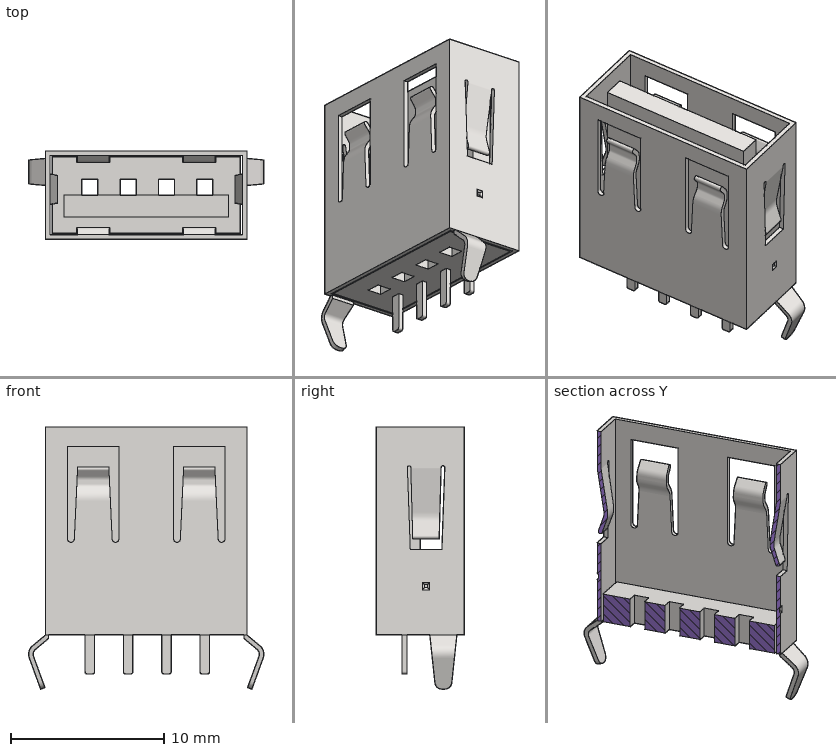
import cadquery as cq
import math

SHELL_X = 13.13
SHELL_Y = 5.76
SHELL_Z = 13.56
SHEET = 0.3
INNER_X = SHELL_X - 2 * SHEET
INNER_Y = SHELL_Y - 2 * SHEET

WIDE_SPRING_X = 3.45
WIDE_WINDOW_TOP = 12.3
WIDE_WINDOW_HALF = 1.68
WIDE_SLOT_RADIUS = 0.22
WIDE_ROOT_Z = 6.26
WIDE_ROOT_HALF = WIDE_WINDOW_HALF - 2 * WIDE_SLOT_RADIUS
WIDE_TIP_HALF = 1.01
WIDE_TAPER_END_Z = 11.12
WIDE_BEND_Z = 8.74
WIDE_IN_ANGLE = 35
WIDE_OUT_ANGLE = 38
WIDE_MOVES = [
    ("straight", WIDE_BEND_Z - WIDE_ROOT_Z),
    ("bend", -WIDE_IN_ANGLE, 0.85),
    ("straight", 0.38),
    ("bend", WIDE_IN_ANGLE, 0.48),
    ("straight", 0.25),
    ("bend", WIDE_OUT_ANGLE, 0.53),
    ("straight", 0.51),
]

SIDE_SPRING_Y = 0.38
SIDE_SLOT_RADIUS = 0.111
SIDE_ROOT_Z = 10.91
SIDE_WINDOW_BOTTOM = 5.57
SIDE_WINDOW_ROOT_HALF = 1.21
SIDE_WINDOW_END_HALF = 1.03
SIDE_ROOT_HALF = SIDE_WINDOW_ROOT_HALF - 2 * SIDE_SLOT_RADIUS
SIDE_TIP_HALF = 0.85
SIDE_TAPER_END_Z = 5.92
SIDE_IN_ANGLE = 9
SIDE_OUT_ANGLE = 19
SIDE_MOVES = [
    ("straight", 0.03),
    ("bend", SIDE_IN_ANGLE, 0.17),
    ("straight", 2.89),
    ("bend", -SIDE_IN_ANGLE, 1.37),
    ("straight", 0.07),
    ("bend", -SIDE_OUT_ANGLE, 0.95),
    ("straight", 1.06),
]

DIMPLE_SIDE = 0.48
DIMPLE_Z = 3.18
DIMPLE_FLOOR = 0.19
DIMPLE_DEPTH = 0.09

LEG_SPREAD = 15.34
LEG_Y = 1.5
LEG_BOTTOM = -3.54
LEG_ROOT_HALF = 0.89
LEG_TIP_HALF = 0.51
LEG_TIP_FILLET = 0.48
LEG_BEND_RADIUS = 0.72
LEG_OUT_ANGLE = 40
LEG_IN_ANGLE = 20
LEG_ROOT_X = 0.2

BASE_X = 12.26
BASE_Y = 5.0
BASE_Z = 2.0
TONGUE_X = 10.72
TONGUE_Y = 1.44
TONGUE_BACK = 0.0
TONGUE_TOP = 13.53
PIN_COUNT = 4
PIN_PITCH = 2.5
PIN_ROW_X = 0.07
PIN_X = 0.63
PIN_Y = 0.35
PIN_CENTER_Y = -1.03
PIN_LENGTH = 2.55
PIN_FILLET = 0.15
BASE_HOLE = 1.03


def direction(angle):
    """Unit vector at an angle in degrees, in the plane of a profile."""
    return cq.Vector(math.cos(math.radians(angle)), math.sin(math.radians(angle)))


def bent_strip(plane, start, heading, moves, half_width, round_end=False):
    """Sheet strip following a mid-line of straights and bends, extruded both ways from the plane.

    Positive bends turn left. Radii and lengths are those of the mid-line.
    """
    half = SHEET / 2
    position = cq.Vector(*start)
    left = [(None, position + direction(heading + 90) * half)]
    right = [(None, position - direction(heading + 90) * half)]
    for kind, amount, *radius in moves:
        if kind == "straight":
            position = position + direction(heading) * amount
            left.append((None, position + direction(heading + 90) * half))
            right.append((None, position - direction(heading + 90) * half))
            continue
        turn = math.copysign(1, amount)
        center = position + direction(heading + 90) * (turn * radius[0])
        spoke_middle = direction(heading + amount / 2 - 90) * turn
        spoke_end = direction(heading + amount - 90) * turn
        for side, reach in ((left, radius[0] - turn * half), (right, radius[0] + turn * half)):
            side.append((center + spoke_middle * reach, center + spoke_end * reach))
        heading += amount
        position = center + spoke_end * radius[0]

    outline = cq.Workplane(plane).moveTo(*left[0][1].toTuple()[:2])
    for middle, end in left[1:]:
        outline = draw_to(outline, middle, end)
    end_middle = position + direction(heading) * half if round_end else None
    outline = draw_to(outline, end_middle, right[-1][1])
    for (middle, _), (_, end) in zip(right[:0:-1], right[-2::-1]):
        outline = draw_to(outline, middle, end)
    return outline.close().extrude(half_width, both=True)


def draw_to(outline, middle, end):
    """Add a line, or an arc through the middle point, to the outline."""
    if middle is None:
        return outline.lineTo(end.x, end.y)
    return outline.threePointArc((middle.x, middle.y), (end.x, end.y))


def tapered_prism(plane, center, root, end, root_half, end_half, depth):
    """Trapezoid prism that is symmetric about a vertical line and extruded both ways."""
    return (
        cq.Workplane(plane)
        .moveTo(center - root_half, root)
        .lineTo(center + root_half, root)
        .lineTo(center + end_half, end)
        .lineTo(center - end_half, end)
        .close()
        .extrude(depth, both=True)
    )


def spring_window(plane, center, root, end, root_half, end_half, slot_radius, depth):
    """Wall opening with a rounded slot end on each side of the spring root."""
    slot_offset = root_half - slot_radius
    slot_ends = (
        cq.Workplane(plane)
        .pushPoints([(center - slot_offset, root), (center + slot_offset, root)])
        .circle(slot_radius)
        .extrude(depth, both=True)
    )
    return tapered_prism(plane, center, root, end, root_half, end_half, depth).union(slot_ends)


def wide_spring(x):
    """Spring of the -Y wall."""
    plane = cq.Plane(origin=(x, 0, 0), xDir=(0, 1, 0), normal=(1, 0, 0))
    strip = bent_strip(
        plane, ((SHEET - SHELL_Y) / 2, WIDE_ROOT_Z), 90, WIDE_MOVES, WIDE_ROOT_HALF, round_end=True
    )
    taper = tapered_prism(
        "XZ", x, WIDE_ROOT_Z, WIDE_TAPER_END_Z, WIDE_ROOT_HALF, WIDE_TIP_HALF, SHELL_Y
    )
    return strip.intersect(taper)


def side_spring():
    """Spring of the -X wall."""
    plane = cq.Plane(origin=(0, SIDE_SPRING_Y, 0), xDir=(1, 0, 0), normal=(0, -1, 0))
    strip = bent_strip(
        plane, ((SHEET - SHELL_X) / 2, SIDE_ROOT_Z), -90, SIDE_MOVES, SIDE_ROOT_HALF, round_end=True
    )
    taper = tapered_prism(
        "YZ", SIDE_SPRING_Y, SIDE_ROOT_Z, SIDE_TAPER_END_Z, SIDE_ROOT_HALF, SIDE_TIP_HALF, SHELL_X
    )
    return strip.intersect(taper)


def dimple():
    """Truncated-pyramid recess of the -X wall."""
    return (
        cq.Workplane("YZ", origin=(-SHELL_X / 2, SIDE_SPRING_Y, DIMPLE_Z))
        .rect(DIMPLE_SIDE, DIMPLE_SIDE)
        .workplane(offset=DIMPLE_DEPTH)
        .rect(DIMPLE_FLOOR, DIMPLE_FLOOR)
        .loft(combine=True)
    )


def leg():
    """Leg of the -X wall: leans outward from the wall's outer edge, then bends back inward."""
    upper = direction(180 + LEG_OUT_ANGLE)
    outward = direction(90 + LEG_OUT_ANGLE)
    wall_edge = cq.Vector(-SHELL_X / 2, 0)
    center_x = -LEG_SPREAD / 2 + LEG_BEND_RADIUS
    upper_length = (center_x + LEG_BEND_RADIUS * outward.x - wall_edge.x) / upper.x
    bend_center_z = upper_length * upper.y - LEG_BEND_RADIUS * outward.y
    lower_start_z = bend_center_z - LEG_BEND_RADIUS * math.sin(math.radians(LEG_IN_ANGLE))
    lower_length = (lower_start_z - LEG_BOTTOM) / math.cos(math.radians(LEG_IN_ANGLE))

    start = wall_edge - outward * (SHEET / 2) - upper * SHEET
    moves = [
        ("straight", upper_length + SHEET),
        ("bend", 90 - LEG_OUT_ANGLE + LEG_IN_ANGLE, LEG_BEND_RADIUS - SHEET / 2),
        ("straight", lower_length),
    ]
    plane = cq.Plane(origin=(0, LEG_Y, 0), xDir=(1, 0, 0), normal=(0, -1, 0))
    strip = bent_strip(plane, start.toTuple()[:2], 180 + LEG_OUT_ANGLE, moves, LEG_ROOT_HALF)
    taper = tapered_prism("YZ", LEG_Y, 0, LEG_BOTTOM, LEG_ROOT_HALF, LEG_TIP_HALF, SHELL_X)
    inner_trim = cq.Workplane("XY").box(SHELL_X / 2, SHELL_Y, SHELL_Z).translate(
        (wall_edge.x + LEG_ROOT_X + SHELL_X / 4, 0, 0)
    )
    tip_corners = cq.selectors.BoxSelector(
        (-LEG_SPREAD, -SHELL_Y, LEG_BOTTOM - SHEET), (0, SHELL_Y, LEG_BOTTOM + SHEET / 2)
    )
    return (
        strip.intersect(taper)
        .cut(inner_trim)
        .edges(tip_corners)
        .edges("not |Y")
        .fillet(LEG_TIP_FILLET)
    )


def make_shell():
    tube = (
        cq.Workplane("XY")
        .rect(SHELL_X, SHELL_Y)
        .rect(INNER_X, INNER_Y)
        .extrude(SHELL_Z)
        .cut(
            spring_window(
                "YZ", SIDE_SPRING_Y, SIDE_ROOT_Z, SIDE_WINDOW_BOTTOM,
                SIDE_WINDOW_ROOT_HALF, SIDE_WINDOW_END_HALF, SIDE_SLOT_RADIUS, SHELL_X,
            )
        )
    )
    for x in (-WIDE_SPRING_X, WIDE_SPRING_X):
        tube = tube.cut(
            spring_window(
                "XZ", x, WIDE_ROOT_Z, WIDE_WINDOW_TOP,
                WIDE_WINDOW_HALF, WIDE_WINDOW_HALF, WIDE_SLOT_RADIUS, SHELL_Y,
            )
        )
    for x in (-WIDE_SPRING_X, WIDE_SPRING_X):
        spring = wide_spring(x)
        tube = tube.union(spring).union(spring.mirror("XZ"))
    tube = tube.cut(dimple()).cut(dimple().mirror("YZ"))
    for feature in (side_spring(), leg()):
        tube = tube.union(feature).union(feature.mirror("YZ"))
    return tube


def make_insulator():
    pin_points = [(PIN_ROW_X + PIN_PITCH * (i - (PIN_COUNT - 1) / 2), 0) for i in range(PIN_COUNT)]
    base = cq.Workplane("XY").rect(BASE_X, BASE_Y).extrude(BASE_Z)
    holes = (
        cq.Workplane("XY", origin=(0, TONGUE_BACK + BASE_HOLE / 2, 0))
        .pushPoints(pin_points)
        .rect(BASE_HOLE, BASE_HOLE)
        .extrude(BASE_Z)
    )
    tongue = (
        cq.Workplane("XY", origin=(0, TONGUE_BACK - TONGUE_Y / 2, BASE_Z))
        .rect(TONGUE_X, TONGUE_Y)
        .extrude(TONGUE_TOP - BASE_Z)
    )
    pins = (
        cq.Workplane("XY", origin=(0, PIN_CENTER_Y, 0))
        .pushPoints(pin_points)
        .rect(PIN_X, PIN_Y)
        .extrude(-PIN_LENGTH)
        .faces("<Z")
        .edges("|Y")
        .fillet(PIN_FILLET)
    )
    return base.cut(holes).union(tongue).union(pins)


shell = make_shell()
insulator = make_insulator()
result = cq.Compound.makeCompound([shell.solids().val(), insulator.solids().val()])